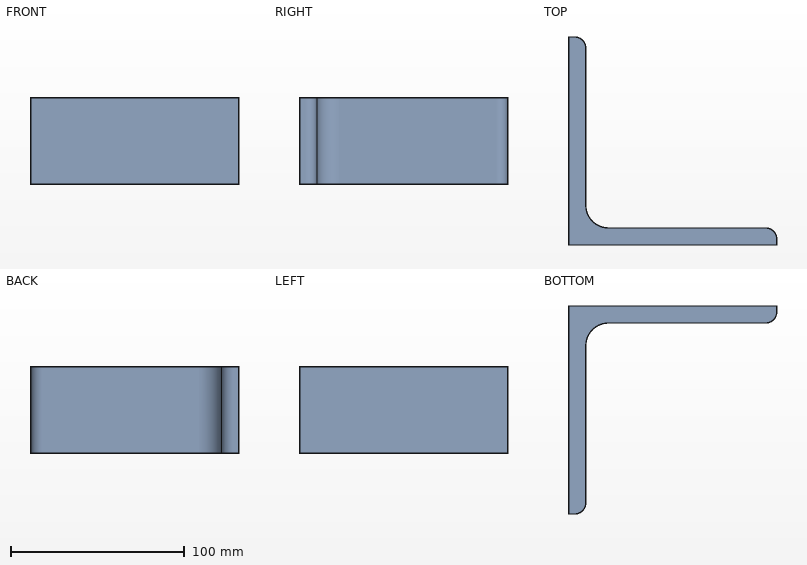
import cadquery as cq

leg_length = 120.0
leg_thickness = 10.0
length = 50.0
root_radius = 13.0
toe_radius = root_radius / 2

section = (
    cq.Workplane("XY")
    .moveTo(0, 0)
    .lineTo(leg_length, 0)
    .lineTo(leg_length, leg_thickness)
    .lineTo(leg_thickness, leg_thickness)
    .lineTo(leg_thickness, leg_length)
    .lineTo(0, leg_length)
    .close()
)
angle = section.extrude(length)


def round_vertical_edge(body, x, y, radius):
    """Fillet the vertical edge that passes through (x, y)."""
    edge = cq.selectors.NearestToPointSelector((x, y, length / 2))
    return body.edges("|Z").edges(edge).fillet(radius)


angle = round_vertical_edge(angle, leg_thickness, leg_thickness, root_radius)
angle = round_vertical_edge(angle, leg_length, leg_thickness, toe_radius)
angle = round_vertical_edge(angle, leg_thickness, leg_length, toe_radius)

result = angle